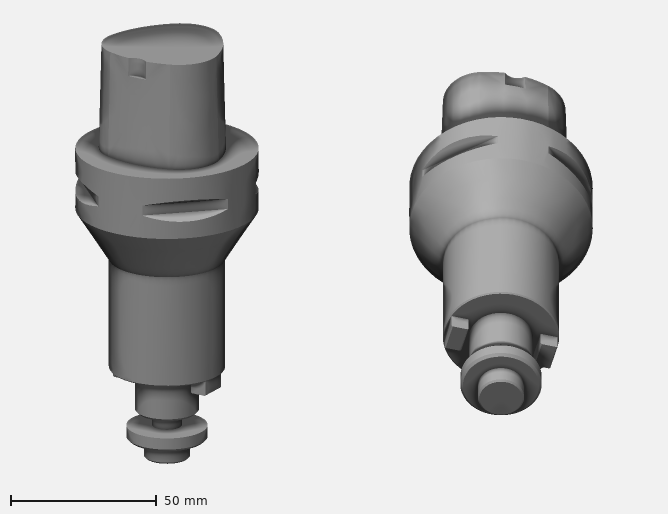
import cadquery as cq
import math

TOTAL_HEIGHT = 150.5
SHANK_HEIGHT = 38.0
FLANGE_HEIGHT = 22.0
CONE_HEIGHT = 18.0
BODY_HEIGHT = 40.0
SPIGOT_HEIGHT = 16.0
NECK_HEIGHT = 5.0
WASHER_HEIGHT = 5.0

FLANGE_DIAMETER = 63.0
BODY_DIAMETER = 40.0
SPIGOT_DIAMETER = 22.0
NECK_DIAMETER = 10.2
WASHER_DIAMETER = 28.0
HEAD_DIAMETER = 16.0

BODY_CHAMFER = 0.5
SPIGOT_CHAMFER = 0.9
HEAD_CHAMFER = 0.6

LOBE_REACH = 23.5
LOBE_RADIUS = 14.6
SIDE_REACH = 20.3
TAPER_PER_LENGTH = 1 / 20

NOTCH_HEIGHT = 6.5
NOTCH_RADIUS = 5.0
NOTCH_FLOOR_Y = -17.8

GROOVE_DEPTH_BELOW_FACE = 12.0
GROOVE_FLOOR_DISTANCE = 27.7
GROOVE_FLOOR_WIDTH = 3.6
GROOVE_WALL_ANGLE = 28

KEY_INNER_X = 12.8
KEY_OUTER_X = 18.8
KEY_WIDTH = 10.0
KEY_HEIGHT = 5.4
KEY_CHAMFER = 0.5

cone_top = -FLANGE_HEIGHT
body_top = cone_top - CONE_HEIGHT
spigot_top = body_top - BODY_HEIGHT
neck_top = spigot_top - SPIGOT_HEIGHT
washer_top = neck_top - NECK_HEIGHT
head_top = washer_top - WASHER_HEIGHT
head_height = head_top - (SHANK_HEIGHT - TOTAL_HEIGHT)


def polar(radius, degrees):
    angle = math.radians(degrees)
    return (radius * math.cos(angle), radius * math.sin(angle))


def disc(diameter, top, height):
    """Cylinder on the Z axis reaching down from its top face."""
    return cq.Workplane("XY").workplane(offset=top).circle(diameter / 2).extrude(-height)


def make_shank():
    """Six tangent arcs: a lobe at 90, 210 and 330 degrees, a flatter side between each pair."""
    lobe_offset = LOBE_REACH - LOBE_RADIUS
    across = lobe_offset * math.sin(math.radians(60))
    along = lobe_offset * math.cos(math.radians(60)) - SIDE_REACH
    side_radius = (LOBE_RADIUS**2 - across**2 - along**2) / (2 * (LOBE_RADIUS + along))
    side_half_angle = math.degrees(math.asin(across / (side_radius - LOBE_RADIUS)))

    lobe_half_angle = 60 - side_half_angle

    def joint(lobe_angle, side):
        center = polar(lobe_offset, lobe_angle)
        arm = polar(LOBE_RADIUS, lobe_angle + side * lobe_half_angle)
        return (center[0] + arm[0], center[1] + arm[1])

    outline = cq.Workplane("XY").moveTo(*joint(90, -1))
    for lobe_angle in (90, 210, 330):
        outline = outline.threePointArc(polar(LOBE_REACH, lobe_angle), joint(lobe_angle, 1))
        outline = outline.threePointArc(polar(SIDE_REACH, lobe_angle + 60), joint(lobe_angle + 120, -1))
    taper_angle = math.degrees(math.atan(TAPER_PER_LENGTH / 2))
    shank = outline.close().extrude(SHANK_HEIGHT, taper=taper_angle)

    notch = disc(2 * NOTCH_RADIUS, SHANK_HEIGHT, NOTCH_HEIGHT)
    return shank.cut(notch.translate((0, NOTCH_FLOOR_Y - NOTCH_RADIUS, 0)))


def make_groove_cutter(angle):
    """Flat-floored groove with flared walls, running along a chord of the flange."""
    flange_radius = FLANGE_DIAMETER / 2
    floor_half = GROOVE_FLOOR_WIDTH / 2
    depth = flange_radius - GROOVE_FLOOR_DISTANCE
    mouth_half = floor_half + depth * math.tan(math.radians(GROOVE_WALL_ANGLE))
    profile = [
        (GROOVE_FLOOR_DISTANCE, -floor_half),
        (flange_radius, -mouth_half),
        (flange_radius, mouth_half),
        (GROOVE_FLOOR_DISTANCE, floor_half),
    ]
    cutter = cq.Workplane("XZ").polyline(profile).close().extrude(flange_radius, both=True)
    return cutter.translate((0, 0, -GROOVE_DEPTH_BELOW_FACE)).rotate((0, 0, 0), (0, 0, 1), angle)


def make_flange():
    flange = disc(FLANGE_DIAMETER, 0, FLANGE_HEIGHT)
    for angle in (45, 135, 225, 315):
        flange = flange.cut(make_groove_cutter(angle))
    return flange


def make_cone():
    return (
        cq.Workplane("XY").workplane(offset=cone_top).circle(FLANGE_DIAMETER / 2)
        .workplane(offset=-CONE_HEIGHT).circle(BODY_DIAMETER / 2)
        .loft(ruled=True)
    )


def make_key(side):
    length = KEY_OUTER_X - KEY_INNER_X
    center_x = side * (KEY_INNER_X + KEY_OUTER_X) / 2
    height = KEY_HEIGHT + BODY_CHAMFER
    key = cq.Workplane("XY").box(length, KEY_WIDTH, height, centered=(True, True, False))
    key = key.faces("<Z").edges("|Y").chamfer(KEY_CHAMFER)
    return key.translate((center_x, 0, spigot_top - KEY_HEIGHT))


body = disc(BODY_DIAMETER, body_top, BODY_HEIGHT).faces("<Z").chamfer(BODY_CHAMFER)
spigot = disc(SPIGOT_DIAMETER, spigot_top, SPIGOT_HEIGHT).faces("<Z").chamfer(SPIGOT_CHAMFER)
neck = disc(NECK_DIAMETER, neck_top, NECK_HEIGHT)
washer = disc(WASHER_DIAMETER, washer_top, WASHER_HEIGHT).faces("<Z").chamfer(SPIGOT_CHAMFER)
head = disc(HEAD_DIAMETER, head_top, head_height).faces("<Z").chamfer(HEAD_CHAMFER)

result = make_shank().union(make_flange())
for section in (make_cone(), body, spigot, neck, washer, head, make_key(-1), make_key(1)):
    result = result.union(section)